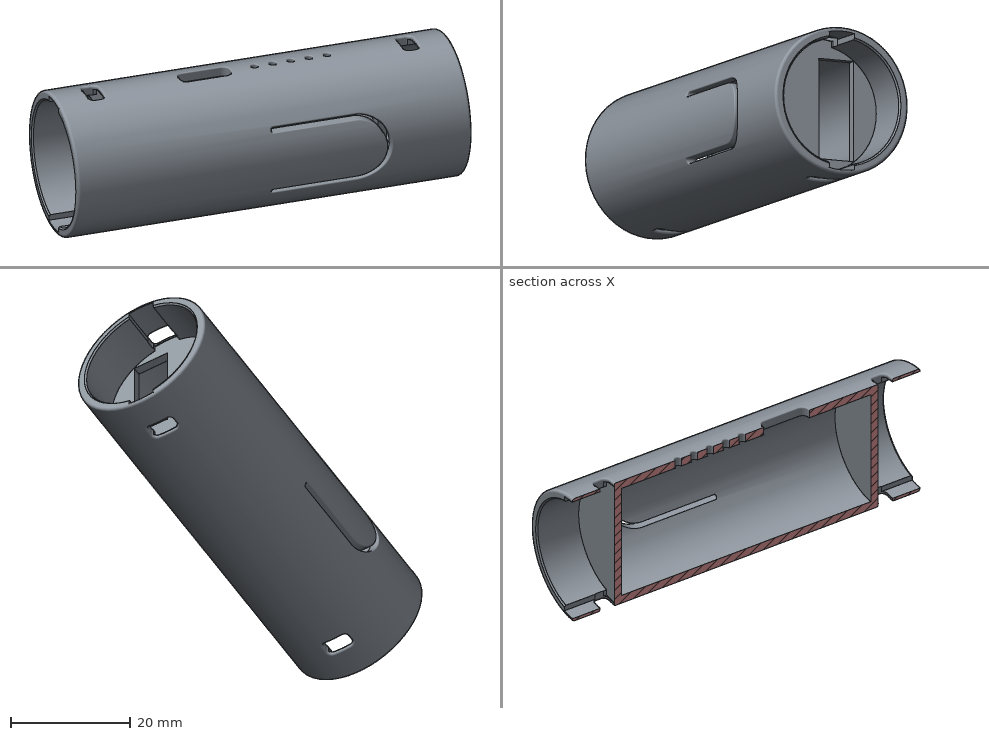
import cadquery as cq

length = 70.0
outer_radius = 12.495
bore_radius = 10.85
rim_fillet = 0.5
mouth_chamfer = 0.3

end_depth = 8.5
web_thickness = 1.5
chamber_length = length - 2 * (end_depth + web_thickness)

window_width = 6.5
window_height = 17.1

keyway_width = 4.75
keyway_radius = 11.8

latch_size_x = 4.9
latch_size_y = 2.8
latch_corner = 0.9
latch_offset = 28.0
latch_fillet = 0.35

light_count = 5
light_pitch = 3.2
light_diameter = 1.2
first_light_y = 0.8

switch_size_x = 3.15
switch_size_y = 9.1
switch_corner = 1.2
switch_y = -8.1

tongue_radius = 5.25
slit_width = 0.8
slit_start_y = -0.15
slit_arc_y = 14.85
slit_end_fillet = 0.45 * slit_width

opening_fillet = 0.2

cut_reach = outer_radius + 0.7
rim_depth = 1.4
rim_margin = 0.35


def turned(points):
    """Solid of revolution about the Y axis from (y, radius) points."""
    return cq.Workplane("YZ").polyline(points).close().revolve(360, (0, 0, 0), (1, 0, 0))


def rod(radius, start_y, rod_length):
    end_y = start_y + rod_length
    return turned([(start_y, 0), (start_y, radius), (end_y, radius), (end_y, 0)])


def end_cavity():
    """Material removed at the -Y end: bore with chamfered mouth, plus the two keyways."""
    mouth_y = -length / 2
    floor_y = mouth_y + end_depth
    bore = turned([
        (mouth_y, 0),
        (mouth_y, bore_radius + mouth_chamfer),
        (mouth_y + mouth_chamfer, bore_radius),
        (floor_y, bore_radius),
        (floor_y, 0),
    ])
    bar = cq.Workplane("XY").box(keyway_width, end_depth, 2 * outer_radius)
    bar = bar.translate((0, mouth_y + end_depth / 2, 0))
    keyways = bar.intersect(rod(keyway_radius, mouth_y, end_depth))
    return bore.union(keyways)


def rounded_slot(size_x, size_y, corner, y, bottom_z):
    """Vertical cutter with rounded corners, from bottom_z to above the body."""
    blank = cq.Workplane("XY").workplane(offset=bottom_z).center(0, y).rect(size_x, size_y)
    return blank.extrude(cut_reach - bottom_z).edges("|Z").fillet(corner)


def tongue_outline(radius):
    """Block along +X, square at its -Y end and round at its +Y end."""
    return (
        cq.Workplane("YZ")
        .moveTo(slit_start_y, -radius)
        .lineTo(slit_arc_y, -radius)
        .threePointArc((slit_arc_y + radius, 0), (slit_arc_y, radius))
        .lineTo(slit_start_y, radius)
        .close()
        .extrude(cut_reach)
    )


def slit_cutter():
    """U-shaped cutter whose two legs have rounded tips."""
    legs = tongue_outline(tongue_radius + slit_width).cut(tongue_outline(tongue_radius))
    return legs.edges("|X and <Y").fillet(slit_end_fillet)


def round_rim(body, center, half_size, fillet):
    """Fillet the outer edges of the opening that lies within half_size of center."""
    low = [c - h for c, h in zip(center, half_size)]
    high = [c + h for c, h in zip(center, half_size)]
    return body.edges(cq.selectors.BoxSelector(low, high)).fillet(fillet)


def round_slot_rim(body, size_x, size_y, y, surface_z, fillet):
    """Fillet the rim of an opening in the top or bottom wall."""
    half_size = (size_x / 2 + rim_margin, size_y / 2 + rim_margin, rim_depth)
    return round_rim(body, (0, y, surface_z), half_size, fillet)


body = rod(outer_radius, -length / 2, length)
body = body.faces("<Y or >Y").edges().fillet(rim_fillet)

for y in (-latch_offset, latch_offset):
    body = body.cut(rounded_slot(latch_size_x, latch_size_y, latch_corner, y, -cut_reach))
    for surface_z in (-outer_radius, outer_radius):
        body = round_slot_rim(body, latch_size_x, latch_size_y, y, surface_z, latch_fillet)

body = body.cut(rounded_slot(switch_size_x, switch_size_y, switch_corner, switch_y, 0))
body = round_slot_rim(body, switch_size_x, switch_size_y, switch_y, outer_radius, opening_fillet)

for i in range(light_count):
    y = first_light_y + i * light_pitch
    light = cq.Workplane("XY").center(0, y).circle(light_diameter / 2).extrude(cut_reach)
    body = body.cut(light)
    body = round_slot_rim(body, light_diameter, light_diameter, y, outer_radius, opening_fillet)

body = body.cut(slit_cutter())
slit_radius = tongue_radius + slit_width
slit_middle_y = (slit_start_y + slit_arc_y + slit_radius) / 2
slit_half_length = (slit_arc_y + slit_radius - slit_start_y) / 2
slit_half_size = (2 * rim_depth, slit_half_length + rim_margin, slit_radius + rim_margin)
body = round_rim(body, (outer_radius, slit_middle_y, 0), slit_half_size, opening_fillet)

body = body.cut(end_cavity()).cut(end_cavity().mirror("XZ"))
body = body.cut(rod(bore_radius, -chamber_length / 2, chamber_length))
window = cq.Workplane("XY").box(window_width, length, window_height)
body = body.cut(window.translate((-window_width / 2, 0, 0)))

result = body